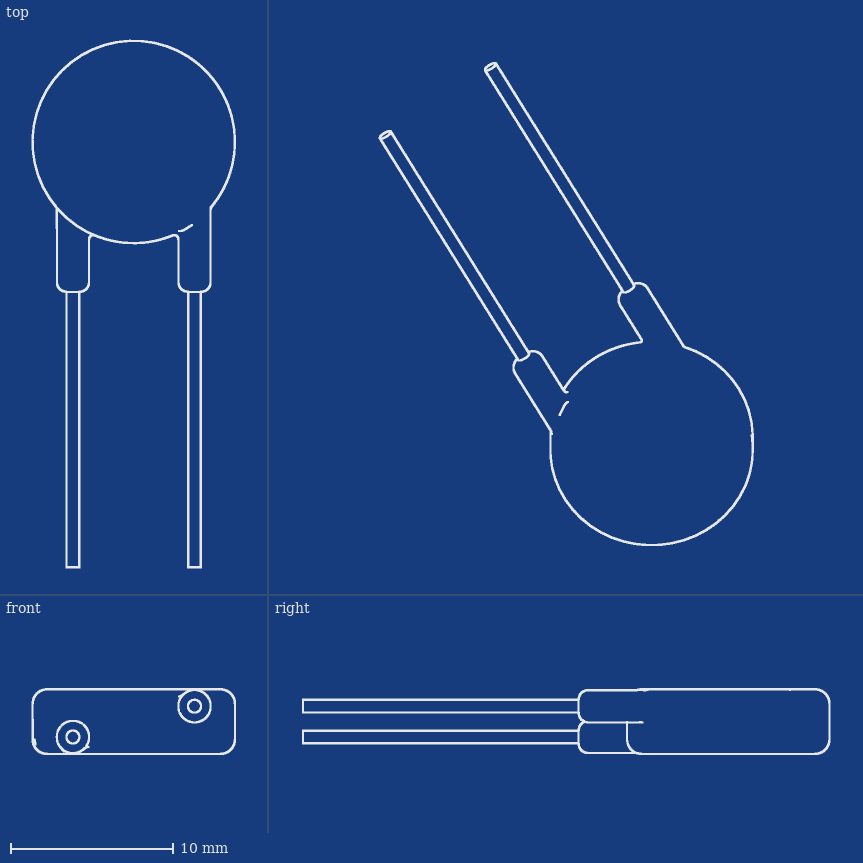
import cadquery as cq

disc_diameter = 12.5
disc_height = 4.0
disc_edge_radius = 0.9
disc_radius = disc_diameter / 2

lead_pitch = 7.5
lead_height = 0.95
lead_positions = [
    (-lead_pitch / 2, -lead_height),
    (lead_pitch / 2, lead_height),
]

wire_diameter = 0.8
wire_length = 17.0

sleeve_diameter = 2.0
sleeve_reach = 3.0
sleeve_start_y = -2.5
sleeve_end_y = -disc_radius - sleeve_reach
sleeve_tip_radius = (sleeve_diameter - wire_diameter) / 2
sleeve_root_radius = 0.25

skin_tolerance = 1e-3


def rod(position, diameter, start_y, length):
    """Round rod running toward -Y from start_y, at an (x, z) position."""
    x, z = position
    return (
        cq.Workplane("XZ", origin=(x, start_y, z))
        .circle(diameter / 2)
        .extrude(length)
    )


def make_blank_disc():
    """Sharp-edged disc."""
    return cq.Workplane("XY", origin=(0, 0, -disc_height / 2)).circle(disc_radius).extrude(disc_height)


def round_rims(body):
    """Round the top and bottom rims of the disc in a body."""
    rims = body.faces("<Z or >Z").edges("%CIRCLE")
    return rims.fillet(disc_edge_radius)


def make_sleeve(position):
    sleeve = rod(position, sleeve_diameter, sleeve_start_y, sleeve_start_y - sleeve_end_y)
    return sleeve.faces("<Y").edges().fillet(sleeve_tip_radius)


def root_edges(body, disc, sleeve):
    """Edges where a sleeve leaves the disc: they lie on the skin of both."""
    skins = [part.val().Shells()[0] for part in (disc, sleeve)]

    def on_both_skins(edge):
        point = cq.Vertex.makeVertex(*edge.positionAt(0.5).toTuple())
        return all(skin.distance(point) < skin_tolerance for skin in skins)

    return body.newObject([edge for edge in body.edges().vals() if on_both_skins(edge)])


def make_coating():
    sleeves = [make_sleeve(position) for position in lead_positions]

    disc = round_rims(make_blank_disc())
    filleted_body = disc
    for sleeve in sleeves:
        filleted_body = filleted_body.union(sleeve)
    for sleeve in sleeves:
        filleted_body = root_edges(filleted_body, disc, sleeve).fillet(sleeve_root_radius)

    shouldered_body = make_blank_disc()
    for sleeve in sleeves:
        shouldered_body = shouldered_body.union(sleeve)
    shouldered_body = round_rims(shouldered_body)

    return filleted_body.union(shouldered_body)


coating = make_coating()
wires = [rod(position, wire_diameter, sleeve_end_y, wire_length) for position in lead_positions]

result = cq.Compound.makeCompound([coating.val(), *[wire.val() for wire in wires]])